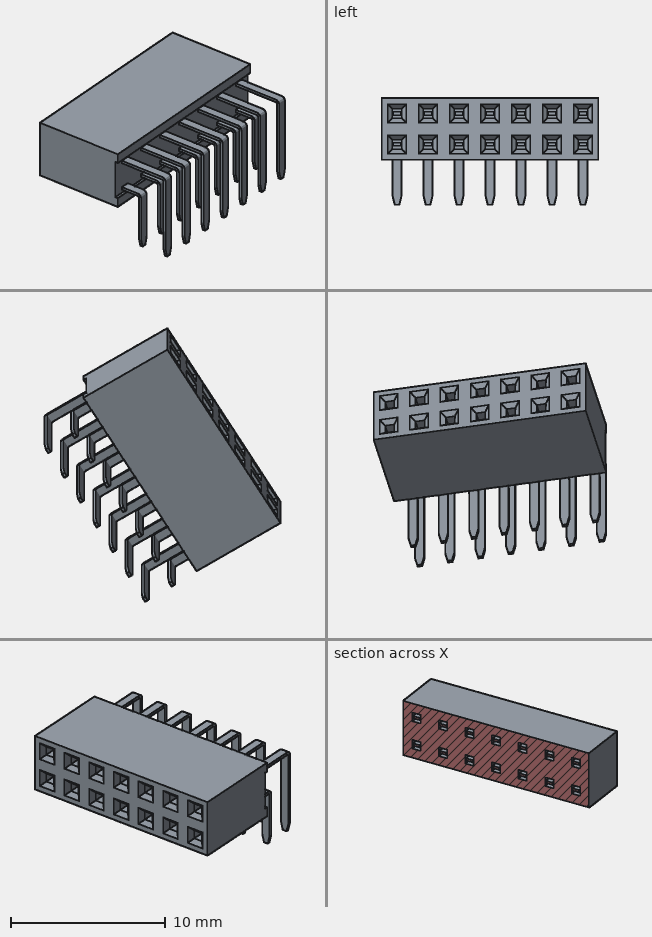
import cadquery as cq


pitch = 2.0
contacts_per_row = 7
row_count = 2

body_depth = 6.35
body_length = contacts_per_row * pitch
body_height = row_count * pitch
back_recess_depth = 0.2
back_lip_height = 0.67

socket_mouth = 1.2
socket_bore = 0.6
funnel_depth = (socket_mouth - socket_bore) / 2
bore_end = 4.0

pin_width = 0.6
pin_thickness = 0.2
bend_outer_radius = 0.3
bend_inner_radius = bend_outer_radius - pin_thickness
pin_drop = 2.9
tip_length = 0.6
tip_width = 0.3
long_pin_reach = 9.72

blade_width = 0.5
blade_start = 3.0

body_bottom = pin_drop
back_wall = body_depth - back_recess_depth
column_positions = [(i - (contacts_per_row - 1) / 2) * pitch for i in range(contacts_per_row)]
row_heights = [body_bottom + (i + 0.5) * pitch for i in range(row_count)]


def box(x_range, y_center, width, z_range):
    """Box spanning x_range and z_range, centred on y_center."""
    x0, x1 = x_range
    z0, z1 = z_range
    return (
        cq.Workplane("XY")
        .box(x1 - x0, width, z1 - z0, centered=(False, True, False))
        .translate((x0, y_center, z0))
    )


def make_housing():
    """Plain block with a recess along the whole back face."""
    body_top = body_bottom + body_height
    block = box((0, body_depth), 0, body_length, (body_bottom, body_top))
    recess_range = (body_bottom + back_lip_height, body_top - back_lip_height)
    return block.cut(box((back_wall, body_depth), 0, body_length, recess_range))


def make_socket(y, z):
    """Square funnel leading into a square blind bore."""
    funnel = (
        cq.Workplane("YZ", origin=(0, y, z))
        .rect(socket_mouth, socket_mouth)
        .workplane(offset=funnel_depth)
        .rect(socket_bore, socket_bore)
        .loft(ruled=True)
    )
    bore_range = (z - socket_bore / 2, z + socket_bore / 2)
    return funnel.union(box((funnel_depth, bore_end), y, socket_bore, bore_range))


def make_blade(y, z):
    """Contact blade standing forward from the bore floor."""
    blade_range = (z - pin_thickness / 2, z + pin_thickness / 2)
    return box((blade_start, bore_end), y, blade_width, blade_range)


def make_tip_cutter(y, side):
    """Wedge that tapers one edge of a leg; side is +1 or -1 along Y."""
    edge = y + side * pin_width / 2
    tip_edge = y + side * tip_width / 2
    return (
        cq.Workplane("YZ")
        .polyline([(edge, tip_length), (edge, 0), (tip_edge, 0)])
        .close()
        .extrude(long_pin_reach)
    )


def make_pin(y, z, reach):
    """Flat strip leaving the back wall, bent down into a tapered leg."""
    top = z + pin_thickness / 2
    underside = z - pin_thickness / 2
    leg_inner = reach - pin_thickness
    strip = (
        cq.Workplane("XZ", origin=(0, y + pin_width / 2, 0))
        .moveTo(bore_end, top)
        .lineTo(reach - bend_outer_radius, top)
        .radiusArc((reach, top - bend_outer_radius), bend_outer_radius)
        .lineTo(reach, 0)
        .lineTo(leg_inner, 0)
        .lineTo(leg_inner, underside - bend_inner_radius)
        .radiusArc((leg_inner - bend_inner_radius, underside), -bend_inner_radius)
        .lineTo(bore_end, underside)
        .close()
        .extrude(pin_width)
    )
    return strip.cut(make_tip_cutter(y, 1)).cut(make_tip_cutter(y, -1))


result = make_housing()
for row, row_z in enumerate(row_heights):
    rows_above = row_count - 1 - row
    pin_reach = long_pin_reach - rows_above * pitch
    for column_y in column_positions:
        result = result.cut(make_socket(column_y, row_z))
        result = result.union(make_blade(column_y, row_z))
        result = result.union(make_pin(column_y, row_z, pin_reach))